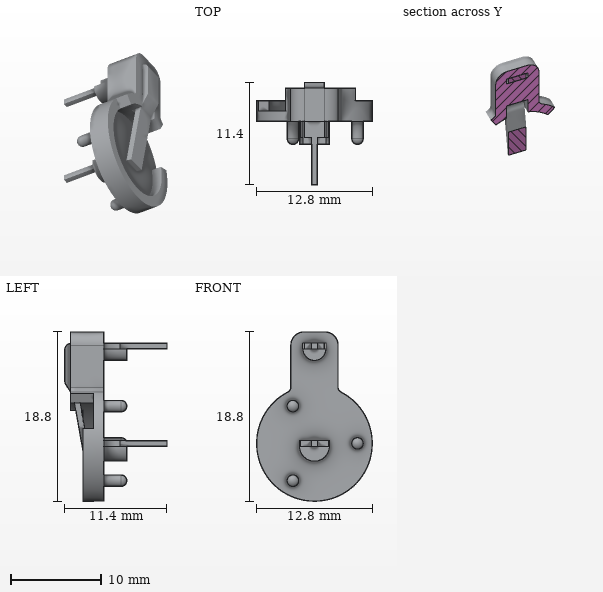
import cadquery as cq
import math


overall_height = 18.75
holder_radius = 12.8 / 2
neck_top = overall_height - holder_radius
neck_width = 5.25
neck_corner_radius = 1.5
neck_root_radius = 0.56

floor_depth = 1.12
rim_depth = 2.3
full_depth = 3.7
cavity_radius = 5.18

high_rim_start = 44.5
notch_start = 120.0
notch_end = 165.0

peg_radius = 0.64
peg_length = 2.55
peg_circle_radius = 4.76
peg_count = 3

strip_thickness = 0.64
terminal_width = strip_thickness
terminal_length = 7.01
shoulder_length = 1.8
spring_strip_width = 2.21
plate_strip_width = 3.11
spring_terminal_z = 10.76
plate_terminal_z = 0.0

inner_bend_radius = 0.11
bend_radius = inner_bend_radius + strip_thickness / 2
entry_angle = 32.0
leaf_angle = 10.0
entry_corner_z = 6.8
leaf_corner_z = 5.3
leaf_end_z = -1.69

spring_slot_width = 2.53
plate_slot_width = 3.3
post_length = peg_length


def tan_deg(angle):
    return math.tan(math.radians(angle))


def front_plane(y=0.0):
    """Sketch plane with local x = X and local y = Z; a positive extrusion runs toward -Y."""
    return cq.Workplane(cq.Plane(origin=(0, y, 0), xDir=(1, 0, 0), normal=(0, -1, 0)))


def disc(radius, y_start, y_end):
    """Cylinder about the holder axis, between two Y positions."""
    return front_plane(y_start).circle(radius).extrude(y_start - y_end)


def block(width, y_start, y_end, z_start, z_end):
    """Box centred on X = 0."""
    size = (width, y_end - y_start, z_end - z_start)
    return cq.Workplane("XY").box(*size).translate((0, (y_start + y_end) / 2, (z_start + z_end) / 2))


def sector(start_angle, end_angle, y_start, y_end):
    """Wedge from the holder axis that reaches past the rim, less than 180 degrees wide."""
    half_angle = (end_angle - start_angle) / 2
    reach = 2 * holder_radius / math.cos(math.radians(half_angle))
    corners = [
        (reach * math.cos(math.radians(angle)), reach * math.sin(math.radians(angle)))
        for angle in (start_angle, end_angle)
    ]
    return front_plane(y_start).polyline([(0, 0), *corners]).close().extrude(y_start - y_end)


def make_body_blank():
    """Full-depth holder and neck, with rounded neck corners and neck roots."""
    neck = block(neck_width, 0, full_depth, 0, neck_top)
    neck = neck.edges("|Y and >Z").fillet(neck_corner_radius)
    blank = disc(holder_radius, 0, full_depth).union(neck)
    root_z = math.sqrt(holder_radius**2 - (neck_width / 2) ** 2)
    for x in (-neck_width / 2, neck_width / 2):
        root = cq.selectors.NearestToPointSelector((x, full_depth / 2, root_z))
        blank = blank.edges("|Y").edges(root).fillet(neck_root_radius)
    return blank


def cut_rim(body):
    """Lower the rim outside the high arc, open the side notch and hollow the cell cavity."""
    low_side = disc(2 * holder_radius, rim_depth, full_depth)
    low_side = low_side.cut(sector(high_rim_start, notch_start, rim_depth, full_depth))
    notch = sector(notch_start, notch_end, floor_depth, full_depth)
    cavity = disc(cavity_radius, floor_depth, full_depth)
    return body.cut(low_side).cut(notch).cut(cavity)


def add_pegs(body):
    """Round-ended pegs, evenly spaced on a circle."""
    shank_length = peg_length - peg_radius
    for index in range(peg_count):
        angle = math.radians(index * 360 / peg_count)
        x = peg_circle_radius * math.cos(angle)
        z = peg_circle_radius * math.sin(angle)
        shank = front_plane().center(x, z).circle(peg_radius).extrude(shank_length)
        dome = cq.Workplane("XY").sphere(peg_radius).translate((x, -shank_length, z))
        body = body.union(shank.union(dome))
    return body


def add_post_and_slot(body, slot_width, terminal_z, slot_depth):
    """Half-round post whose flat top carries the strip, and the slot the strip passes through."""
    slot_bottom = terminal_z - strip_thickness / 2
    slot_top = terminal_z + strip_thickness / 2
    radius = slot_width / 2
    post = (
        front_plane()
        .moveTo(-radius, slot_bottom)
        .threePointArc((0, slot_bottom - radius), (radius, slot_bottom))
        .close()
        .extrude(post_length)
    )
    slot = block(slot_width, 0, slot_depth, slot_bottom, slot_top)
    return body.union(post).cut(slot)


def cut_leaf_window(body):
    """Window in the back of the neck that leads the spring leaf into the cavity."""
    window_top = entry_corner_z + bend_radius * tan_deg(entry_angle / 2)
    return body.cut(block(spring_slot_width, rim_depth, full_depth, 0, window_top))


def round_slot_mouth(body):
    """Round the slot edge that the spring contact is bent over."""
    mouth = cq.selectors.NearestToPointSelector(
        (0, full_depth, spring_terminal_z - strip_thickness / 2)
    )
    return body.edges("|X").edges(mouth).fillet(inner_bend_radius)


def make_housing():
    body = cut_rim(make_body_blank())
    body = add_pegs(body)
    body = add_post_and_slot(body, spring_slot_width, spring_terminal_z, full_depth)
    body = add_post_and_slot(body, plate_slot_width, plate_terminal_z, floor_depth)
    body = cut_leaf_window(body)
    return round_slot_mouth(body)


def make_terminal(terminal_z):
    """Square terminal in front of the strip shoulder."""
    bottom = terminal_z - strip_thickness / 2
    return block(terminal_width, -terminal_length, -shoulder_length, bottom, bottom + strip_thickness)


def make_spring_contact():
    """Strip through the neck, down its back and into the cavity as a sloping leaf."""
    back_y = full_depth + strip_thickness / 2
    leaf_corner_y = back_y - (entry_corner_z - leaf_corner_z) * tan_deg(entry_angle)
    leaf_end_y = leaf_corner_y - (leaf_corner_z - leaf_end_z) * tan_deg(leaf_angle)
    centreline = cq.Wire.makePolygon([
        cq.Vector(0, -shoulder_length, spring_terminal_z),
        cq.Vector(0, back_y, spring_terminal_z),
        cq.Vector(0, back_y, entry_corner_z),
        cq.Vector(0, leaf_corner_y, leaf_corner_z),
        cq.Vector(0, leaf_end_y, leaf_end_z),
    ])
    corners_to_bend = centreline.Vertices()[1:-1]
    centreline = centreline.fillet(bend_radius, corners_to_bend)
    strip = (
        front_plane(-shoulder_length)
        .center(0, spring_terminal_z)
        .rect(spring_strip_width, strip_thickness)
        .sweep(cq.Workplane(centreline))
    )
    return strip.union(make_terminal(spring_terminal_z))


def make_plate_contact():
    """Straight strip that ends flush with the cavity floor."""
    bottom = plate_terminal_z - strip_thickness / 2
    strip = block(plate_strip_width, -shoulder_length, floor_depth, bottom, bottom + strip_thickness)
    return strip.union(make_terminal(plate_terminal_z))


housing = make_housing()
spring_contact = make_spring_contact()
plate_contact = make_plate_contact()

bodies = [housing, spring_contact, plate_contact]
result = cq.Compound.makeCompound([body.solids().val() for body in bodies])